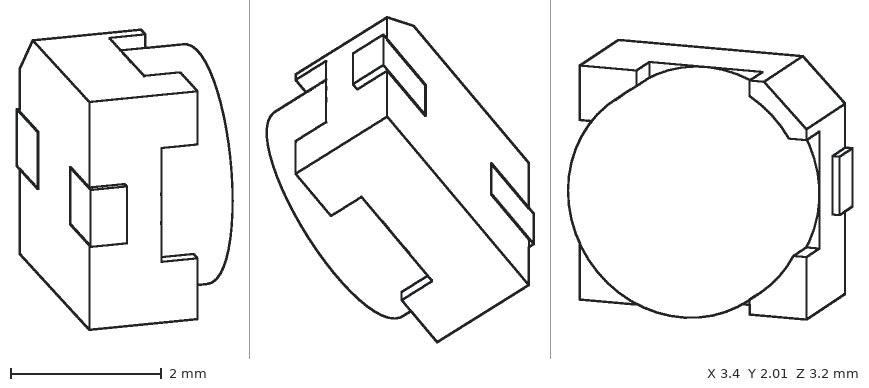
import cadquery as cq

side = 3.2
base_depth = 1.5
corner_chamfer = 0.6

core_diameter = side
core_projection = 0.5
seat_depth = 0.5
core_edge_radius = 0.05

gap_width = 1.598
side_gap_offset = 0.055

overall_width = 3.4
terminal_width = 0.96
terminal_height = 0.8
terminal_depth = 0.5
terminal_standoff = 0.01

seat_floor = base_depth - seat_depth


def box(width, depth, height, x, y_start, z):
    """Box centred on x and z, running from y_start toward +Y."""
    return cq.Workplane("XY").box(width, depth, height).translate((x, y_start + depth / 2, z))


def make_core():
    """Disc that fills the seat and stands out of the base, with a rounded outer rim."""
    length = seat_depth + core_projection
    disc = cq.Workplane("XZ", origin=(0, seat_floor, 0)).circle(core_diameter / 2).extrude(-length)
    return disc.faces(">Y").edges().fillet(core_edge_radius)


def make_block():
    """Square block with its upper -X corner cut off."""
    block = box(side, base_depth, side, 0, 0, 0)
    return block.edges("|Y and <X and >Z").chamfer(corner_chamfer)


def cut_seat(block):
    """Cut the round seat and the gaps that open it to all four sides."""
    seat = cq.Workplane("XZ", origin=(0, seat_floor, 0)).circle(core_diameter / 2).extrude(-seat_depth)
    gap_z = box(gap_width, seat_depth, side, 0, seat_floor, 0)
    gap_x = box(side, seat_depth, gap_width, 0, seat_floor, side_gap_offset)
    return block.cut(gap_z).cut(gap_x).cut(seat)


def add_terminals(block):
    """Join one terminal pad to the base at each X end."""
    terminal_x = (overall_width - terminal_width) / 2
    for direction in (-1, 1):
        pad = box(
            terminal_width, terminal_depth, terminal_height,
            direction * terminal_x, -terminal_standoff, 0,
        )
        block = block.union(pad)
    return block


base = add_terminals(cut_seat(make_block()))
core = make_core()

result = cq.Compound.makeCompound([base.val(), core.val()])